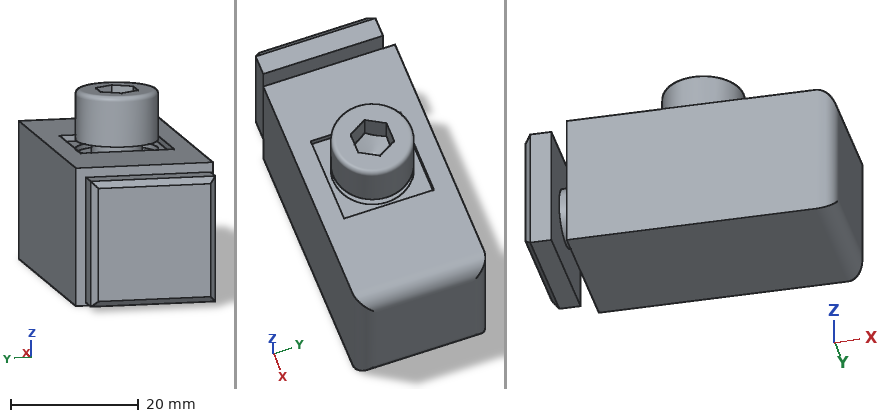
import cadquery as cq
import math

housing_side = 22.0
housing_length = 43.0
end_radius = 3.0
housing_top = housing_side / 2

block_x = 19.4
block_side = 15.0
block_recess = 1.0
block_height = 4.0
block_top = housing_top - block_recess
block_bottom = block_top - block_height
spotface_diameter = 13.0
spotface_depth = 0.8

plate_side = 20.0
plate_thickness = 4.4
plate_chamfer = 1.0
plate_gap = 2.7
pin_diameter = 9.5
pin_engagement = 10.0

screw_gap = 0.5
screw_head_diameter = 13.0
screw_head_height = 8.0
screw_head_fillet = 0.8
shank_diameter = 8.0
shank_end_depth = 4.0
socket_width = 6.0
socket_depth = 4.0
socket_cone_angle = 120.0
screw_head_bottom = housing_top + screw_gap
screw_head_top = screw_head_bottom + screw_head_height
shank_bottom = block_bottom - shank_end_depth


def upright_cylinder(diameter, bottom, top):
    """Cylinder on the screw axis between two heights."""
    return (
        cq.Workplane("XY", origin=(block_x, 0, bottom))
        .circle(diameter / 2)
        .extrude(top - bottom)
    )


def square_block(bottom, top):
    """Square prism on the screw axis between two heights."""
    return (
        cq.Workplane("XY", origin=(block_x, 0, bottom))
        .rect(block_side, block_side)
        .extrude(top - bottom)
    )


def make_pin():
    """Round pin from the back of the plate to its end inside the housing."""
    return (
        cq.Workplane("YZ", origin=(-plate_gap, 0, 0))
        .circle(pin_diameter / 2)
        .extrude(plate_gap + pin_engagement)
    )


def make_shank():
    return upright_cylinder(shank_diameter, shank_bottom, screw_head_bottom)


def make_housing():
    bar = (
        cq.Workplane("YZ")
        .rect(housing_side, housing_side)
        .extrude(housing_length)
        .faces(">X")
        .edges()
        .fillet(end_radius)
    )
    pocket = square_block(block_bottom, housing_top)
    return bar.cut(pocket).cut(make_shank()).cut(make_pin())


def make_block():
    spotface = upright_cylinder(spotface_diameter, block_top - spotface_depth, block_top)
    return square_block(block_bottom, block_top).cut(spotface).cut(make_shank())


def make_clamp():
    plate = (
        cq.Workplane("YZ", origin=(-plate_gap - plate_thickness, 0, 0))
        .rect(plate_side, plate_side)
        .extrude(plate_thickness)
        .faces("<X")
        .chamfer(plate_chamfer)
    )
    return plate.union(make_pin())


def make_socket():
    """Hexagonal socket with a conical bottom, corners along X."""
    corner_radius = socket_width / math.sqrt(3)
    cone_depth = corner_radius / math.tan(math.radians(socket_cone_angle / 2))
    hexagon = (
        cq.Workplane("XY", origin=(block_x, 0, screw_head_top))
        .polygon(6, 2 * corner_radius)
        .extrude(-socket_depth - cone_depth)
    )
    pointed_bore = (
        cq.Workplane("XZ", origin=(block_x, 0, screw_head_top))
        .lineTo(corner_radius, 0)
        .lineTo(corner_radius, -socket_depth)
        .lineTo(0, -socket_depth - cone_depth)
        .close()
        .revolve(360, (0, 0), (0, 1))
    )
    return hexagon.intersect(pointed_bore)


def make_screw():
    head = upright_cylinder(screw_head_diameter, screw_head_bottom, screw_head_top)
    head = head.faces(">Z").edges().fillet(screw_head_fillet)
    return head.union(make_shank()).cut(make_socket())


housing = make_housing()
block = make_block()
clamp = make_clamp()
screw = make_screw()

result = cq.Compound.makeCompound([housing.val(), block.val(), clamp.val(), screw.val()])